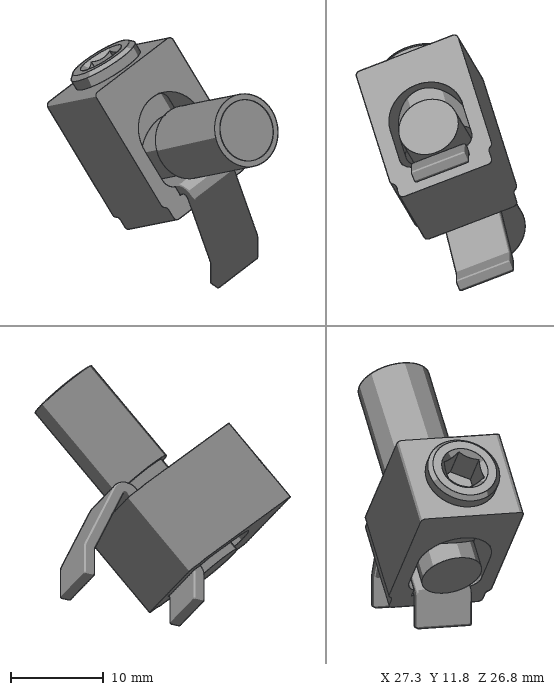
import cadquery as cq
import math

TILT = 45.0
AXIS_HEIGHT = 10.35

BLOCK_LENGTH = 10.35
BLOCK_WIDTH = 11.8
BLOCK_HEIGHT = 16.65
BLOCK_TOP = 10.08
BLOCK_BOTTOM = BLOCK_TOP - BLOCK_HEIGHT
BLOCK_EDGE_RADIUS = 0.52
BASE_HEIGHT = 1.47
BASE_STEP = 0.52
BASE_STEP_HEIGHT = 0.95

CORE_DIAMETER = 6.65
CORE_STICKOUT = 0.8
CORE_END_STEP = 0.08
INSULATION_DIAMETER = 7.93
INSULATION_LENGTH = 12.62
INSULATION_GAP = 1.53

SCREW_DIAMETER = 8.0
SCREW_STICKOUT = 1.58
SCREW_HEAD = BLOCK_TOP + SCREW_STICKOUT
SCREW_TIP = 0.65
SCREW_CHAMFER = 0.45
SOCKET_FLATS = 4.0
SOCKET_DEPTH = 4.0
SOCKET_MOUTH_DIAMETER = 5.15

STRIP_THICKNESS = 1.28
STRIP_WIDTH = 6.27
STRIP_SHIFT = -0.1
STRIP_EDGE_RADIUS = 0.25
STRIP_OVERLAP = 0.03
BEND_RADIUS = 0.38
LEFT_FOOT_X = -1.15
RIGHT_FOOT_X = 11.94
RIGHT_KNEE_Z = 3.5
LEG_ANGLE = 66.0

STRIP_TOP = -CORE_DIAMETER / 2 + STRIP_OVERLAP
STRIP_MIDDLE = STRIP_TOP - STRIP_THICKNESS / 2

SLOT_WIDTH = 8.35
SLOT_TOP = 5.9
SLOT_BOTTOM = -3.57
SLOT_CORNER_RADIUS = 1.5
GROOVE_WIDTH = 6.43
GROOVE_FLOOR = STRIP_TOP - STRIP_THICKNESS


def cylinder_along_x(diameter, start, length):
    return cq.Workplane("YZ", origin=(start, 0, 0)).circle(diameter / 2).extrude(length)


def block():
    half = BLOCK_WIDTH / 2
    base_half = half - BASE_STEP
    r = BLOCK_EDGE_RADIUS
    step_z = BLOCK_BOTTOM + BASE_HEIGHT
    arc_width = BASE_STEP / 2
    arc_height = BASE_STEP_HEIGHT / 2
    step_radius = (arc_width**2 + arc_height**2) / (2 * arc_width)
    body = (
        cq.Workplane("YZ", origin=(-BLOCK_LENGTH / 2, 0, 0))
        .moveTo(0, BLOCK_BOTTOM)
        .lineTo(base_half - r, BLOCK_BOTTOM)
        .radiusArc((base_half, BLOCK_BOTTOM + r), -r)
        .lineTo(base_half, step_z)
        .radiusArc((base_half + arc_width, step_z + arc_height), step_radius)
        .radiusArc((half, step_z + BASE_STEP_HEIGHT), -step_radius)
        .lineTo(half, BLOCK_TOP - r)
        .radiusArc((half - r, BLOCK_TOP), -r)
        .lineTo(0, BLOCK_TOP)
        .mirrorY()
        .extrude(BLOCK_LENGTH)
    )
    return body.cut(slot()).cut(strip_groove())


def slot():
    half = SLOT_WIDTH / 2
    r = SLOT_CORNER_RADIUS
    return (
        cq.Workplane("YZ", origin=(-BLOCK_LENGTH / 2, 0, 0))
        .moveTo(0, SLOT_BOTTOM)
        .lineTo(half - r, SLOT_BOTTOM)
        .radiusArc((half, SLOT_BOTTOM + r), -r)
        .lineTo(half, SLOT_TOP - half)
        .radiusArc((0, SLOT_TOP), -half)
        .mirrorY()
        .extrude(BLOCK_LENGTH)
    )


def strip_groove():
    """Channel in the slot floor that locates the strip."""
    return (
        cq.Workplane("XY", origin=(0, 0, GROOVE_FLOOR))
        .rect(BLOCK_LENGTH, GROOVE_WIDTH)
        .extrude(SLOT_BOTTOM + SLOT_CORNER_RADIUS - GROOVE_FLOOR)
    )


def conductor():
    face = BLOCK_LENGTH / 2
    insulation_start = face + INSULATION_GAP
    core_start = -face - CORE_STICKOUT
    core_end = insulation_start + INSULATION_LENGTH + CORE_END_STEP
    core = cylinder_along_x(CORE_DIAMETER, core_start, core_end - core_start)
    return core.union(cylinder_along_x(INSULATION_DIAMETER, insulation_start, INSULATION_LENGTH))


def screw():
    return (
        cq.Workplane("XY", origin=(0, 0, SCREW_TIP))
        .circle(SCREW_DIAMETER / 2)
        .extrude(SCREW_HEAD - SCREW_TIP)
        .faces(">Z")
        .chamfer(SCREW_CHAMFER)
    )


def socket():
    """Hexagon recess with a 45 degree countersunk mouth."""
    hexagon = (
        cq.Workplane("XY", origin=(0, 0, SCREW_HEAD))
        .transformed(rotate=(0, 0, 30))
        .polygon(6, SOCKET_FLATS, circumscribed=True)
        .extrude(-SOCKET_DEPTH)
    )
    radius = SOCKET_MOUTH_DIAMETER / 2
    mouth = cq.Solid.makeCone(0, radius, radius, pnt=(0, 0, SCREW_HEAD - radius))
    return hexagon.union(cq.Workplane(mouth))


def tilted(shape):
    return shape.rotate((0, 0, 0), (0, 1, 0), -TILT).translate((0, 0, AXIS_HEIGHT))


def strip_corners():
    """Corners of the strip's middle line in the upright XZ plane, from left foot to right foot."""
    floor_slope = math.tan(math.radians(TILT))
    floor_z = AXIS_HEIGHT + STRIP_MIDDLE / math.cos(math.radians(TILT))
    leg_slope = math.tan(math.radians(LEG_ANGLE))
    peak_x = (RIGHT_KNEE_Z + leg_slope * RIGHT_FOOT_X - floor_z) / (floor_slope + leg_slope)
    return [
        (LEFT_FOOT_X, 0),
        (LEFT_FOOT_X, floor_z + floor_slope * LEFT_FOOT_X),
        (peak_x, floor_z + floor_slope * peak_x),
        (RIGHT_FOOT_X, RIGHT_KNEE_Z),
        (RIGHT_FOOT_X, 0),
    ]


def offset_corners(corners, distance):
    """Move an open run of corners sideways to its left by distance, with mitred corners."""
    headings = [math.atan2(b[1] - a[1], b[0] - a[0]) for a, b in zip(corners, corners[1:])]
    arriving = headings[:1] + headings
    leaving = headings + headings[-1:]
    moved = []
    for (x, z), before, after in zip(corners, arriving, leaving):
        normal = (before + after) / 2 + math.pi / 2
        reach = distance / math.cos((after - before) / 2)
        moved.append((x + reach * math.cos(normal), z + reach * math.sin(normal)))
    return moved


def strip():
    corners = strip_corners()
    outer = offset_corners(corners, STRIP_THICKNESS / 2)
    inner = offset_corners(corners, -STRIP_THICKNESS / 2)
    bar = (
        cq.Workplane("XZ", origin=(0, STRIP_SHIFT + STRIP_WIDTH / 2, 0))
        .polyline(outer + inner[::-1])
        .close()
        .extrude(STRIP_WIDTH)
    )
    for side, radius in ((outer, BEND_RADIUS + STRIP_THICKNESS), (inner, BEND_RADIUS)):
        for x, z in side[1:-1]:
            bar = bar.edges(cq.NearestToPointSelector((x, STRIP_SHIFT, z))).fillet(radius)
    return bar.faces("<Y or >Y or <Z").edges().fillet(STRIP_EDGE_RADIUS)


clamp = block().union(conductor()).union(screw()).cut(socket())
result = tilted(clamp).union(strip())